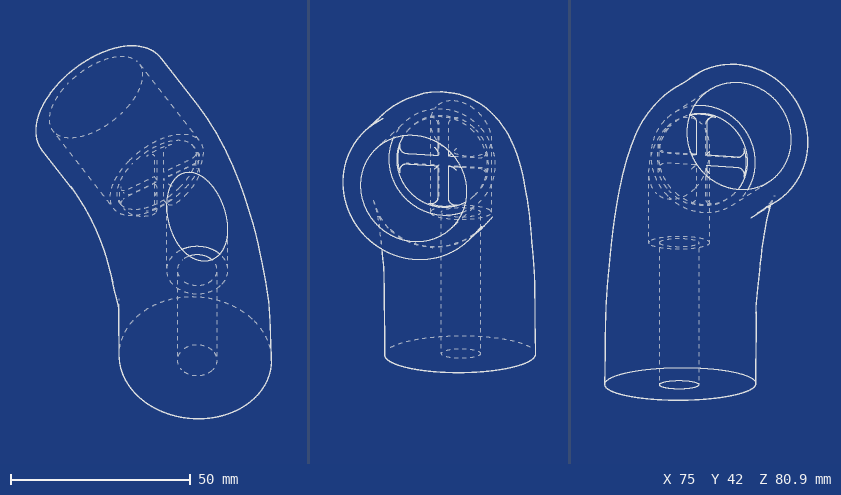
import cadquery as cq
import math

height = 80.9
length = 74.95
tube_diameter = 42.0
tube_radius = tube_diameter / 2
tube_axis_z = height - tube_radius

inner_bend_start_x = 16.2
leg_inner_x = 31.0
inner_bend_radius = leg_inner_x - inner_bend_start_x
inner_bend_center_z = height - tube_diameter - inner_bend_radius
outer_bend_poles = [(24.3, height), (56.2, height), (64.9, 48.2), (73.65, 17.8)]

bend_steps = 6
straight_steps = 6

rim_radius = 3.0
socket_diameter = 30.5
socket_depth = 32.4

recess_diameter = 26.0
recess_depth = 4.05
rib_width = 3.0
rib_height = 2.8
pocket_fillet = 1.95

screw_x = 54.0
screw_diameter = 11.0
head_diameter = 17.0
head_seat_z = 40.5


def inner_point(t):
    """Point (x, z) on the inside of the bend, t running from 0 to 1."""
    angle = math.radians(90 * (1 - t))
    x = inner_bend_start_x + inner_bend_radius * math.cos(angle)
    z = inner_bend_center_z + inner_bend_radius * math.sin(angle)
    return x, z


def outer_point(t):
    """Point (x, z) on the outside of the bend, t running from 0 to 1."""
    s = 1 - t
    weights = (s**3, 3 * s**2 * t, 3 * s * t**2, t**3)
    x = sum(w * pole[0] for w, pole in zip(weights, outer_bend_poles))
    z = sum(w * pole[1] for w, pole in zip(weights, outer_bend_poles))
    return x, z


def spans_between(first, last):
    """Inner and outer points evenly spaced between two sections of a straight stretch."""
    spans = []
    for step in range(1, straight_steps):
        t = step / straight_steps
        spans.append([
            tuple(start + t * (end - start) for start, end in zip(first_point, last_point))
            for first_point, last_point in zip(first, last)
        ])
    return spans


def cross_section(inner, outer):
    """Ellipse spanning inner to outer in the XZ plane, as wide in Y as the tube."""
    inner_end = cq.Vector(inner[0], 0, inner[1])
    outer_end = cq.Vector(outer[0], 0, outer[1])
    across = outer_end - inner_end
    return cq.Wire.makeEllipse(
        max(across.Length / 2, tube_radius),
        tube_radius,
        center=(inner_end + outer_end) / 2,
        normal=cq.Vector(0, 1, 0).cross(across),
        xDir=across,
        closed=False,
    )


def make_body():
    """One smooth loft through the straight tube, the bend and the slightly flared leg."""
    free_end = ((0, height - tube_diameter), (0, height))
    base = ((leg_inner_x, 0), (length, 0))
    steps = [step / bend_steps for step in range(bend_steps + 1)]
    bend_ends = [(inner_point(t), outer_point(t)) for t in steps]

    spans = [free_end]
    spans += spans_between(free_end, bend_ends[0])
    spans += bend_ends
    spans += spans_between(bend_ends[-1], base)
    spans += [base]
    body = cq.Workplane(cq.Solid.makeLoft([cross_section(*span) for span in spans]))
    return body.faces("<X").edges().fillet(rim_radius)


def tube_plane(x):
    """Sketch plane across the tube axis, facing into the part along +X."""
    return cq.Workplane("YZ", origin=(x, 0, tube_axis_z))


def is_outer_corner(edge):
    """True for a pocket edge out at the recess wall rather than at the hub of the cross."""
    center = edge.Center()
    return math.hypot(center.y, center.z - tube_axis_z) > recess_diameter / 4


def make_rib_pockets():
    """Four quarter-round pockets separated by a cross, with rounded outer corners and floors."""
    plane = tube_plane(socket_depth + recess_depth - rib_height)
    cross = (
        plane.rect(rib_width, recess_diameter)
        .extrude(rib_height)
        .union(plane.rect(recess_diameter, rib_width).extrude(rib_height))
    )
    pockets = plane.circle(recess_diameter / 2).extrude(rib_height).cut(cross)
    corners = pockets.edges("|X").filter(is_outer_corner)
    return corners.fillet(pocket_fillet).faces(">X").edges().fillet(pocket_fillet)


def make_socket():
    """Round socket with the recess in its floor; the rib tops sit below the socket floor."""
    socket = tube_plane(0).circle(socket_diameter / 2).extrude(socket_depth)
    recess = tube_plane(socket_depth).circle(recess_diameter / 2).extrude(recess_depth - rib_height)
    return socket.union(recess).union(make_rib_pockets())


def make_screw_hole():
    """Clearance hole through the leg, widened above the head seat."""
    shank = cq.Workplane("XY", origin=(screw_x, 0, 0)).circle(screw_diameter / 2).extrude(height)
    head = (
        cq.Workplane("XY", origin=(screw_x, 0, head_seat_z))
        .circle(head_diameter / 2)
        .extrude(height - head_seat_z)
    )
    return shank.union(head)


result = make_body().cut(make_socket()).cut(make_screw_hole())